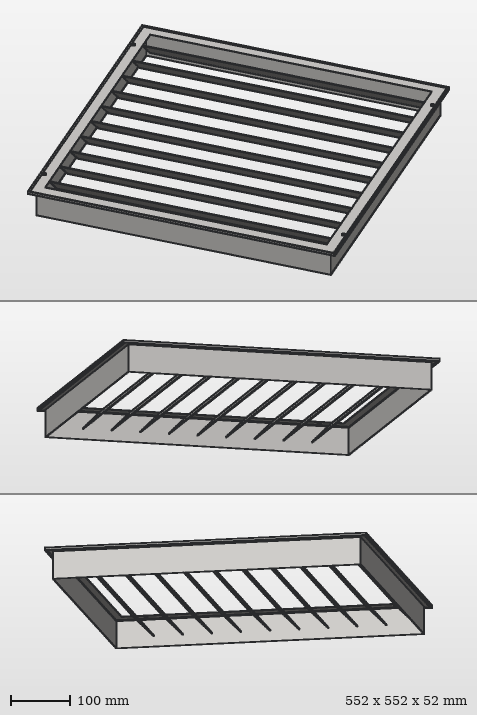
import cadquery as cq
import math

outer_side = 552.0
total_height = 52.0
sheet_thickness = 1.0

opening_side = 506.0
grille_depth = 4.0
rim_thickness = 3.5
plate_bottom = total_height - sheet_thickness
rim_bottom = total_height - grille_depth
rim_inner_side = outer_side - 2 * rim_thickness

slat_count = 10
slat_pitch = 50.0
slat_width = 50.5
slat_thickness = 1.5
slat_tilt = -45.0
slat_length = opening_side
tilt_radians = math.radians(abs(slat_tilt))
slat_half_depth = (slat_width * math.cos(tilt_radians) + slat_thickness * math.sin(tilt_radians)) / 2
slat_half_height = (slat_width * math.sin(tilt_radians) + slat_thickness * math.cos(tilt_radians)) / 2
last_slat_y = opening_side / 2 - slat_half_depth
slat_centre_z = total_height - slat_half_height

skirt_side = 530.0
skirt_inner_side = skirt_side - 2 * sheet_thickness
flange_bottom = rim_bottom - sheet_thickness

hole_diameter = 6.0
hole_x = (skirt_side + rim_inner_side) / 4
hole_y = 214.5


def square_ring(outside, inside, bottom, top):
    return (
        cq.Workplane("XY", origin=(0, 0, bottom))
        .rect(outside, outside)
        .rect(inside, inside)
        .extrude(top - bottom)
    )


def drill_screw_holes(body):
    drills = (
        cq.Workplane("XY")
        .rect(2 * hole_x, 2 * hole_y, forConstruction=True)
        .vertices()
        .circle(hole_diameter / 2)
        .extrude(total_height)
    )
    return body.cut(drills)


def make_slat(centre_y):
    return (
        cq.Workplane("XY")
        .box(slat_length, slat_width, slat_thickness)
        .rotate((0, 0, 0), (1, 0, 0), slat_tilt)
        .translate((0, centre_y, slat_centre_z))
    )


def make_grille():
    plate = square_ring(outer_side, opening_side, plate_bottom, total_height)
    rim = square_ring(outer_side, rim_inner_side, rim_bottom, plate_bottom)
    body = drill_screw_holes(plate.union(rim))
    for index in range(slat_count):
        body = body.union(make_slat(last_slat_y - index * slat_pitch))
    return body


def make_duct_frame():
    skirt = square_ring(skirt_side, skirt_inner_side, 0, flange_bottom)
    flange = square_ring(outer_side, skirt_inner_side, flange_bottom, rim_bottom)
    return drill_screw_holes(skirt.union(flange))


grille = make_grille()
duct_frame = make_duct_frame()
result = cq.Compound.makeCompound([grille.val(), duct_frame.val()])